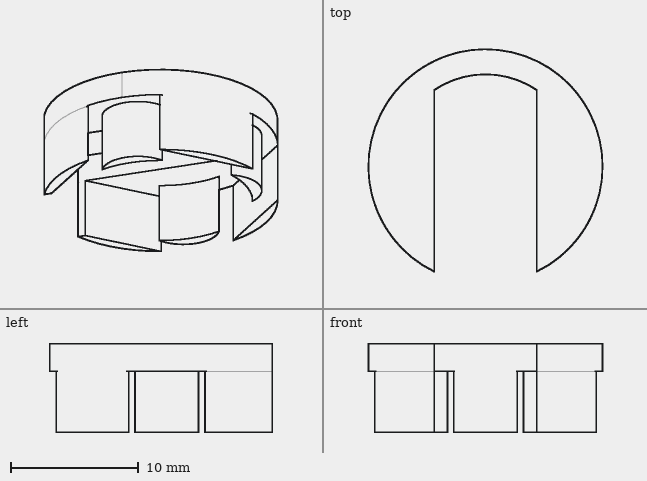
import cadquery as cq
import math

outer_radius = 9.18
total_height = 6.95
plate_thickness = 2.18
slot_width = 8.0
bore_radius = 7.2
window_width = 5.95
leg_width = 5.0
leg_arc_radius = 2.85

skirt_height = total_height - plate_thickness
window_half = window_width / 2
leg_half = leg_width / 2
window_edge = math.sqrt(outer_radius**2 - window_half**2)
leg_inner_edge = math.sqrt(bore_radius**2 - leg_half**2)
leg_arc_center = leg_inner_edge - math.sqrt(leg_arc_radius**2 - leg_half**2)
leg_outer_reach = leg_arc_center + leg_arc_radius


def make_plate():
    """Round top plate."""
    return cq.Workplane("XY").workplane(offset=skirt_height).circle(outer_radius).extrude(plate_thickness)


def make_skirt_segment(angle):
    """Skirt wall with a round outside and a flat inside, centred on a diagonal."""
    diagonal = outer_radius * math.sqrt(0.5)
    segment = (
        cq.Workplane("XY")
        .moveTo(window_edge, window_half)
        .threePointArc((diagonal, diagonal), (window_half, window_edge))
        .close()
        .extrude(skirt_height)
    )
    return segment.rotate((0, 0, 0), (0, 0, 1), angle)


def make_leg(angle):
    """Leg with a bulging outer face and an inner face that follows the bore."""
    leg = (
        cq.Workplane("XY")
        .moveTo(leg_inner_edge, -leg_half)
        .threePointArc((leg_outer_reach, 0), (leg_inner_edge, leg_half))
        .threePointArc((bore_radius, 0), (leg_inner_edge, -leg_half))
        .close()
        .extrude(skirt_height)
    )
    return leg.rotate((0, 0, 0), (0, 0, 1), angle)


def make_slot():
    """Slot open toward -Y, ending in an arc concentric with the plate."""
    bore = cq.Workplane("XY").circle(bore_radius).extrude(total_height)
    channel = cq.Workplane("XY").rect(slot_width, 2 * outer_radius).extrude(total_height)
    mouth = (
        cq.Workplane("XY")
        .center(0, -outer_radius / 2)
        .rect(slot_width, outer_radius)
        .extrude(total_height)
    )
    return channel.intersect(bore).union(mouth)


result = make_plate()
for segment_angle in (0, 90, 180, 270):
    result = result.union(make_skirt_segment(segment_angle))
result = result.cut(make_slot())
for leg_angle in (0, 90, 180):
    result = result.union(make_leg(leg_angle))